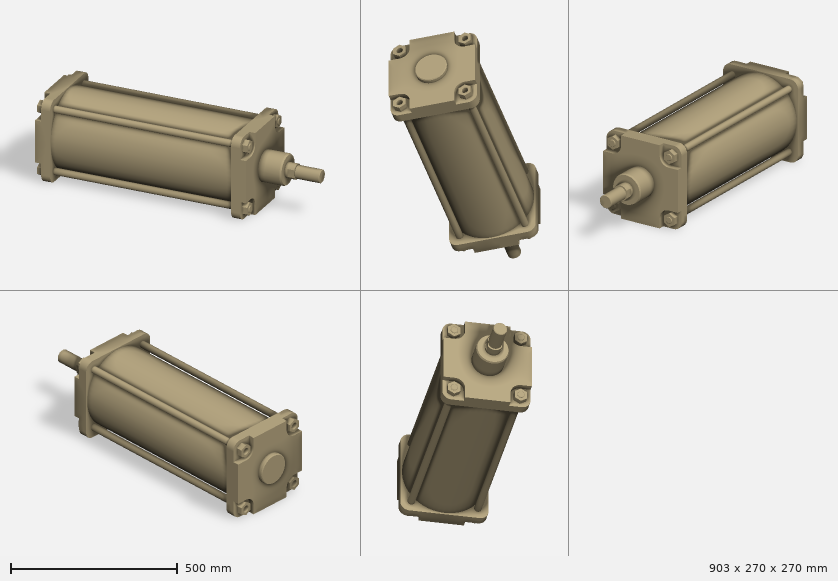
import cadquery as cq
import math

overall_length = 903.0
rear_boss_length = 15.0
cap_thickness = 50.0
barrel_length = 600.0
collar_length = 76.0

rear_face = rear_boss_length
barrel_start = rear_face + cap_thickness
barrel_end = barrel_start + barrel_length
front_face = barrel_end + cap_thickness
collar_end = front_face + collar_length

cap_side = 270.0
cap_corner_radius = 27.0
boss_diameter = 100.0
rear_boss_chamfer = 3.0
collar_chamfer_length = 5.0
collar_chamfer_depth = 3.0
pocket_depth = 20.0

barrel_diameter = 260.0

tie_rod_offset = 102.0
tie_rod_diameter = 23.0
tie_rod_chamfer = 2.0
end_hole_chamfer_angle = 45
end_hole_diameter = tie_rod_diameter - 2 * tie_rod_chamfer
nut_across_flats = 38.0
nut_thickness_front = 17.0
pocket_radius = 32.5

rod_diameter = 50.0
rod_across_flats = 42.0
thread_diameter = rod_across_flats
rod_plain_length = 9.0
flats_length = 22.0
thread_chamfer = 2.0

corner_signs = [(-1, -1), (-1, 1), (1, -1), (1, 1)]


def plane_at(x):
    """Workplane across the cylinder axis, with local axes Y and Z, extruding toward +X."""
    return cq.Workplane("YZ", origin=(x, 0, 0))


def cylinder(x_start, length, diameter):
    return plane_at(x_start).circle(diameter / 2).extrude(length)


def nut_pocket(x_start, y_sign, z_sign):
    """Corner relief: a square block past the cap edges, rounded about the tie rod."""
    inner = tie_rod_offset - pocket_radius
    size = cap_side / 2
    centre = inner + size / 2
    block = plane_at(x_start).center(y_sign * centre, z_sign * centre)
    block = block.rect(size, size).extrude(pocket_depth)
    inner_edge = cq.selectors.NearestToPointSelector(
        (x_start + pocket_depth / 2, y_sign * inner, z_sign * inner))
    return block.edges("|X").edges(inner_edge).fillet(pocket_radius)


def end_cap(x_start, pocket_start):
    """Square plate with a tie rod hole and an outer nut pocket at each corner."""
    cap = plane_at(x_start).rect(cap_side, cap_side).extrude(cap_thickness)
    cap = cap.edges("|X").fillet(cap_corner_radius)
    for y_sign, z_sign in corner_signs:
        cap = cap.cut(nut_pocket(pocket_start, y_sign, z_sign))
        hole = cylinder(x_start, cap_thickness, tie_rod_diameter)
        cap = cap.cut(hole.translate((0, y_sign * tie_rod_offset, z_sign * tie_rod_offset)))
    return cap


def make_rear_cap():
    boss = cylinder(0, rear_boss_length, boss_diameter).faces("<X").chamfer(rear_boss_chamfer)
    return end_cap(rear_face, rear_face).union(boss)


def make_front_cap():
    collar = cylinder(front_face, collar_length, boss_diameter)
    collar = collar.faces(">X").chamfer(collar_chamfer_length, collar_chamfer_depth)
    return end_cap(barrel_end, front_face - pocket_depth).union(collar)


def make_barrel():
    return cylinder(barrel_start, barrel_length, barrel_diameter)


def hex_nut(x_start, thickness):
    across_corners = nut_across_flats / math.cos(math.pi / 6)
    nut = plane_at(x_start).polygon(6, across_corners).extrude(thickness)
    return nut.rotate((0, 0, 0), (1, 0, 0), 90)


def end_hole():
    """Blind hole in the rear end of a tie rod, with a chamfered mouth."""
    hole = cylinder(rear_face, pocket_depth, end_hole_diameter)
    mouth = plane_at(rear_face).circle(tie_rod_diameter / 2)
    mouth = mouth.extrude(tie_rod_chamfer, taper=end_hole_chamfer_angle)
    return hole.union(mouth)


def make_tie_rod(y_sign, z_sign):
    """Tie rod from outer face to outer face of the caps, with a hex at each end."""
    rod = cylinder(rear_face, front_face - rear_face, tie_rod_diameter)
    rod = rod.faces(">X").chamfer(tie_rod_chamfer)
    rod = rod.union(hex_nut(rear_face, pocket_depth))
    rod = rod.union(hex_nut(front_face - pocket_depth, nut_thickness_front))
    rod = rod.cut(end_hole())
    return rod.translate((0, y_sign * tie_rod_offset, z_sign * tie_rod_offset))


def make_piston_rod():
    """Rod standing on the collar face: plain shoulder, two wrench flats facing Y, thread end."""
    flats_start = collar_end + rod_plain_length
    flats_end = flats_start + flats_length
    shoulder = cylinder(collar_end, rod_plain_length, rod_diameter)
    flats_slab = plane_at(flats_start).rect(rod_across_flats, rod_diameter).extrude(flats_length)
    flats = cylinder(flats_start, flats_length, rod_diameter).intersect(flats_slab)
    thread = cylinder(flats_end, overall_length - flats_end, thread_diameter)
    thread = thread.faces("<X or >X").chamfer(thread_chamfer)
    return shoulder.union(flats).union(thread)


rear_cap = make_rear_cap()
barrel = make_barrel()
front_cap = make_front_cap()
tie_rods = [make_tie_rod(y_sign, z_sign) for y_sign, z_sign in corner_signs]
piston_rod = make_piston_rod()

result = cq.Compound.makeCompound([
    rear_cap.val(),
    barrel.val(),
    front_cap.val(),
    *[tie_rod.val() for tie_rod in tie_rods],
    piston_rod.val(),
])